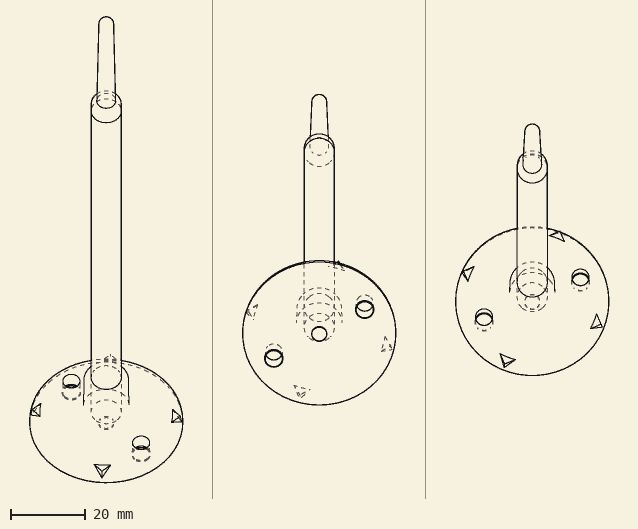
import cadquery as cq
import math

total_height = 175.0
foot_height = 0.5
flange_top = 5.0
collar_top = 20.0
split_height = 135.5
cap_top = 139.8

flange_radius = 20.5
rim_top = 2.0
rim_fillet = 1.5
flange_top_fillet = 1.4
flange_top_radius = flange_radius - (flange_top - rim_top)

corner_block_bottom_side = 28.9
corner_block_top_side = 28.0
corner_block_top = flange_top - flange_top_fillet * (1 - math.cos(math.radians(45)))

collar_top_radius = 6.0
collar_root_radius = 6.1
collar_top_fillet = 1.0
collar_root_fillet = 3.2

screw_hole_diameter = 4.5
screw_offset = 14.0
screw_foot_diameter = 4.9
center_foot_diameter = 4.0

tube_diameter = 8.0
cap_fillet = 1.4
pin_base_diameter = 5.0
pin_tip_diameter = 4.0

screw_positions = [(-screw_offset, 0), (screw_offset, 0)]


def cylinder(diameter, bottom, top):
    return cq.Workplane("XY").workplane(offset=bottom).circle(diameter / 2).extrude(top - bottom)


def circle_edge(radius, height):
    """Selector for the full-circle edge around Z with the given radius and height."""
    margin = 0.09
    reach = radius + margin
    return cq.selectors.BoxSelector(
        (-reach, -reach, height - margin), (reach, reach, height + margin), boundingbox=True
    )


def make_flange_and_collar():
    profile = [
        (0, foot_height),
        (flange_radius, foot_height),
        (flange_radius, rim_top),
        (flange_top_radius, flange_top),
        (collar_root_radius, flange_top),
        (collar_top_radius, collar_top),
        (0, collar_top),
    ]
    body = cq.Workplane("XZ").polyline(profile).close().revolve(360, (0, 0), (0, 1))
    body = body.edges(circle_edge(collar_root_radius, flange_top)).fillet(collar_root_fillet)
    body = body.edges(circle_edge(collar_top_radius, collar_top)).fillet(collar_top_fillet)
    body = body.edges(circle_edge(flange_radius, rim_top)).fillet(rim_fillet)
    return body.edges(circle_edge(flange_top_radius, flange_top)).fillet(flange_top_fillet)


def make_corner_block():
    block = cq.Workplane("XY").workplane(offset=foot_height)
    block = block.rect(corner_block_bottom_side, corner_block_bottom_side)
    block = block.workplane(offset=corner_block_top - foot_height)
    return block.rect(corner_block_top_side, corner_block_top_side).loft(ruled=True)


def make_feet():
    feet = cylinder(center_foot_diameter, 0, foot_height)
    for x, y in screw_positions:
        feet = feet.union(cylinder(screw_foot_diameter, 0, foot_height).translate((x, y, 0)))
    return feet


def make_base():
    body = make_flange_and_collar().union(make_corner_block()).union(make_feet())
    for x, y in screw_positions:
        body = body.cut(cylinder(screw_hole_diameter, 0, flange_top).translate((x, y, 0)))
    return body.cut(cylinder(tube_diameter, flange_top, collar_top))


def make_tube():
    return cylinder(tube_diameter, flange_top, split_height)


def make_tip():
    cap = cylinder(tube_diameter, split_height, cap_top).faces(">Z").edges().fillet(cap_fillet)
    tip_radius = pin_tip_diameter / 2
    tip_center = total_height - tip_radius
    tip_diagonal = tip_radius * math.sqrt(0.5)
    pin_profile = (
        cq.Workplane("XZ")
        .moveTo(0, cap_top)
        .lineTo(pin_base_diameter / 2, cap_top)
        .lineTo(tip_radius, tip_center)
        .threePointArc((tip_diagonal, tip_center + tip_diagonal), (0, total_height))
        .close()
    )
    pin = pin_profile.revolve(360, (0, 0), (0, 1))
    return cap.union(pin)


base = make_base()
tube = make_tube()
tip = make_tip()

result = cq.Compound.makeCompound([base.val(), tube.val(), tip.val()])